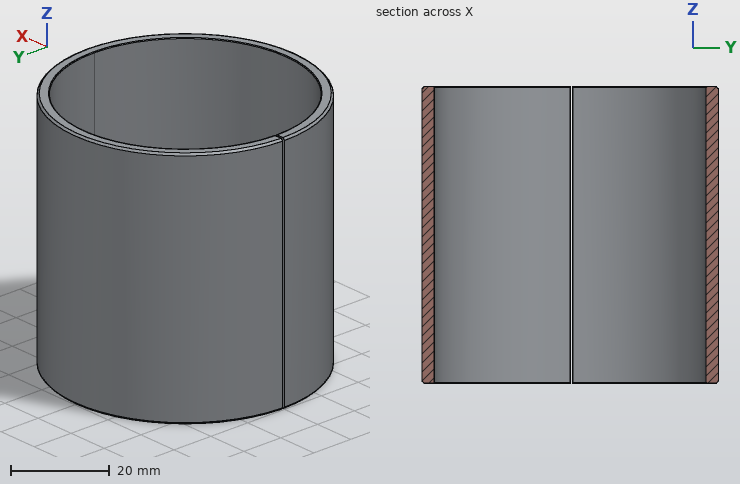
import cadquery as cq

outer_diameter = 60.0
length = 60.0
wall = 2.5
outer_chamfer = 0.5
inner_chamfer = 0.2
slit_width = 0.5

outer_radius = outer_diameter / 2
inner_radius = outer_radius - wall
half_length = length / 2


def make_sleeve():
    """Plain tube, centred on the origin, with both rims chamfered."""
    half_profile = [
        (inner_radius, half_length - inner_chamfer),
        (inner_radius + inner_chamfer, half_length),
        (outer_radius - outer_chamfer, half_length),
        (outer_radius, half_length - outer_chamfer),
    ]
    mirrored = [(r, -z) for r, z in reversed(half_profile)]
    profile = cq.Workplane("XZ").polyline(half_profile + mirrored).close()
    return profile.revolve(360, (0, 0, 0), (0, 1, 0))


def make_slit():
    """Thin full-length cutter on the -X side, with one face on the XZ plane."""
    cutter = cq.Workplane("XY").box(outer_radius, slit_width, length)
    return cutter.translate((-outer_radius, slit_width / 2, 0))


result = make_sleeve().cut(make_slit())